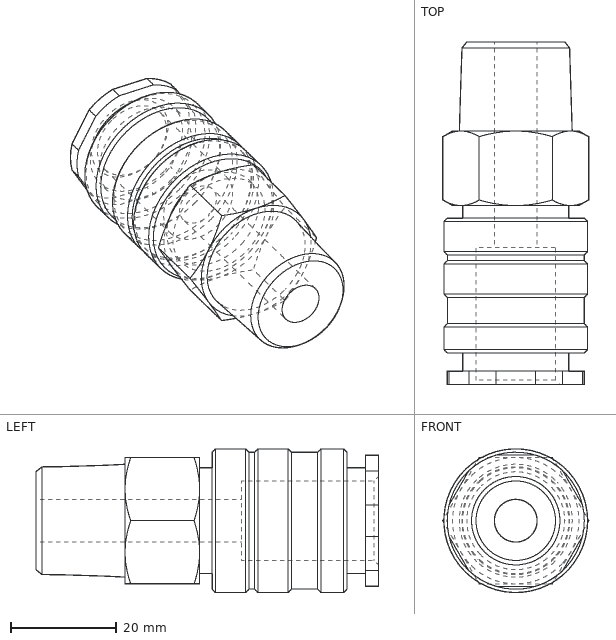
import cadquery as cq
import math

length = 65.0

flange_thickness = 2.55
flange_radius = 13.0
flange_across_flats = 24.9

neck_radius = 10.1
sleeve_radius = 13.65
band_bevel = 0.65
core_radius = sleeve_radius - band_bevel
bands = [(6.0, 11.6), (16.5, 23.5), (24.6, 31.6)]
sleeve_start = bands[0][0]
sleeve_end = bands[-1][1]

nut_start = 33.9
nut_end = 48.1
nut_across_flats = 24.0
nut_bevel_angle = 30.0

thread_root_radius = 10.7
thread_taper = 1 / 32
thread_bevel_start = 63.8
thread_tip_radius = 9.3

mouth_radius = 8.4
socket_radius = 7.55
mouth_bevel = mouth_radius - socket_radius
socket_depth = 26.0
passage_radius = 4.0


def cylinder(radius, start, end):
    return cq.Solid.makeCylinder(radius, end - start, cq.Vector(0, start, 0), cq.Vector(0, 1, 0))


def revolve_profile(points):
    """Turn a closed (radius, y) outline about the Y axis."""
    return cq.Workplane("XY").polyline(points).close().revolve(360, (0, 0, 0), (0, 1, 0)).val()


def hexagon(across_flats, start, end):
    """Hexagonal prism along Y with corners on the X axis and flats facing +Z and -Z."""
    across_corners = across_flats / math.cos(math.radians(30))
    plane = cq.Plane(origin=(0, start, 0), xDir=(1, 0, 0), normal=(0, 1, 0))
    return cq.Workplane(plane).polygon(6, across_corners).extrude(end - start).val()


def make_flange():
    disc = cylinder(flange_radius, 0, flange_thickness)
    return disc.intersect(hexagon(flange_across_flats, 0, flange_thickness))


def make_band(start, end):
    return revolve_profile([
        (0, start),
        (core_radius, start),
        (sleeve_radius, start + band_bevel),
        (sleeve_radius, end - band_bevel),
        (core_radius, end),
        (0, end),
    ])


def make_nut():
    face_radius = nut_across_flats / 2
    corner_radius = face_radius / math.cos(math.radians(30))
    bevel_length = (corner_radius - face_radius) * math.tan(math.radians(nut_bevel_angle))
    envelope = revolve_profile([
        (0, nut_start),
        (face_radius, nut_start),
        (corner_radius, nut_start + bevel_length),
        (corner_radius, nut_end - bevel_length),
        (face_radius, nut_end),
        (0, nut_end),
    ])
    return hexagon(nut_across_flats, nut_start, nut_end).intersect(envelope)


def make_thread():
    thread_end_radius = thread_root_radius - (thread_bevel_start - nut_end) * thread_taper
    return revolve_profile([
        (0, nut_end),
        (thread_root_radius, nut_end),
        (thread_end_radius, thread_bevel_start),
        (thread_tip_radius, length),
        (0, length),
    ])


def make_bore():
    return revolve_profile([
        (0, 0),
        (mouth_radius, 0),
        (socket_radius, mouth_bevel),
        (socket_radius, socket_depth),
        (passage_radius, socket_depth),
        (passage_radius, length),
        (0, length),
    ])


body = cq.Workplane(cylinder(neck_radius, 0, nut_start))
body = body.union(cylinder(core_radius, sleeve_start, sleeve_end))
for band_start, band_end in bands:
    body = body.union(make_band(band_start, band_end))
body = body.union(make_flange()).union(make_nut()).union(make_thread())

result = body.cut(make_bore())